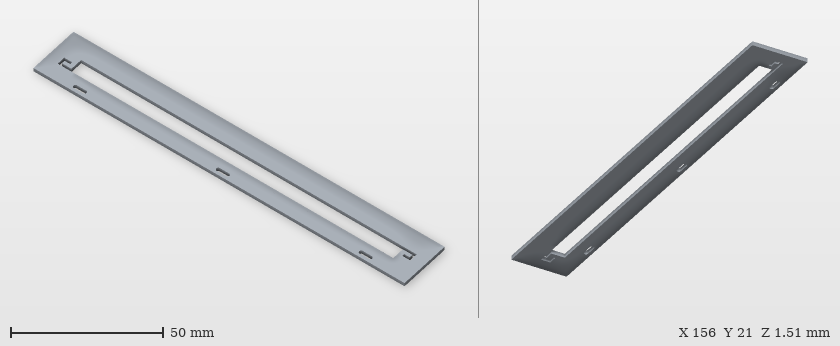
import cadquery as cq

length = 156.0
width = 21.0
thickness = 1.51

window_center_y = -1.0
window_height = 6.1
window_half_span = 73.0
hook_reach = 5.0
hook_height = 3.5
slit_width = 1.0
slit_return_length = 3.3

slot_length = 5.5
slot_width = 1.5
slot_pitch = 60.0
slot_edge_distance = 2.0


def through_box(x_min, x_max, y_min, y_max):
    """Cutter through the full thickness, bounded in X and Y."""
    return cq.Workplane("XY").box(
        x_max - x_min, y_max - y_min, thickness, centered=False
    ).translate((x_min, y_min, 0))


def hooked_slit():
    """C-shaped slit at the lower left of a window centred on the origin."""
    left = -window_half_span
    bottom = -window_height / 2
    top = bottom + hook_height
    lower_leg = through_box(left, left + hook_reach, bottom, bottom + slit_width)
    upright = through_box(left, left + slit_width, bottom, top)
    return_leg = through_box(left, left + slit_return_length, top - slit_width, top)
    return lower_leg.union(upright).union(return_leg)


def window():
    """Rectangular opening plus its two hooks, half-turn symmetric."""
    half_length = window_half_span - hook_reach
    half_height = window_height / 2
    opening = through_box(-half_length, half_length, -half_height, half_height)
    left_hook = hooked_slit()
    right_hook = left_hook.rotate((0, 0, 0), (0, 0, 1), 180)
    return opening.union(left_hook).union(right_hook).translate((0, window_center_y, 0))


def mounting_slots():
    """Three round-ended through slots."""
    slot_y = slot_edge_distance - width / 2
    centers = [(step * slot_pitch, slot_y) for step in (-1, 0, 1)]
    return (
        cq.Workplane("XY")
        .pushPoints(centers)
        .slot2D(slot_length, slot_width)
        .extrude(thickness)
    )


plate = cq.Workplane("XY").box(length, width, thickness, centered=(True, True, False))
result = plate.cut(window()).cut(mounting_slots())